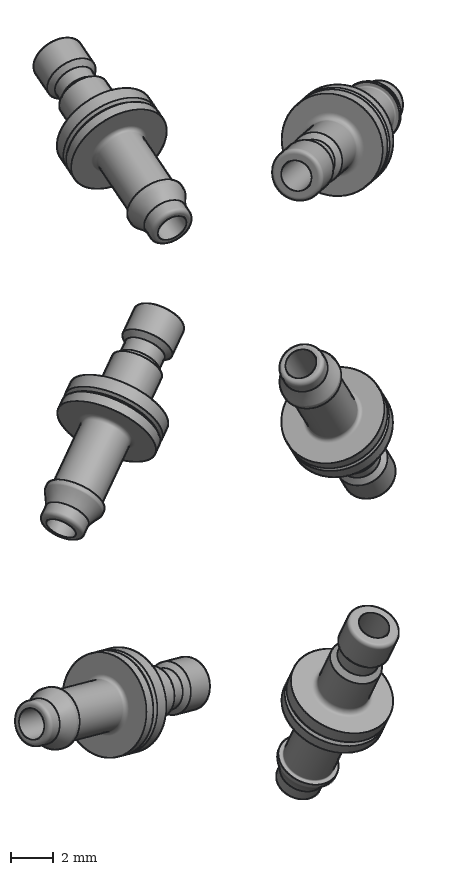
import cadquery as cq
import math

length = 12.0
bore_diameter = 1.5

plug_radius = 2.55 / 2
neck_radius = 2.0 / 2
neck_start = 1.58
neck_end = 2.82
shoulder = plug_radius - neck_radius
end_rounding = 0.2

flange_radius = 5.0 / 2
flange_start = 5.0
flange_width = 1.5
flange_end = flange_start + flange_width
groove_center = 5.83
groove_depth = 0.15
plug_root_fillet = 0.3
hose_root_fillet = 0.2

shank_radius = 2.5 / 2
barb_start = 10.25
barb_radius = 2.95 / 2
barb_root_fillet = 0.07
crest_end = 10.44
crest_rounding = 0.17
ramp_angle = math.radians(26)
tip_start = 11.27
tip_radius = 2.2 / 2
ramp_sag = 0.02

half_turn = ramp_angle / 2
crest_mid = (
    crest_end + crest_rounding * math.sin(half_turn),
    barb_radius - crest_rounding * (1 - math.cos(half_turn)),
)
ramp_start = (
    crest_end + crest_rounding * math.sin(ramp_angle),
    barb_radius - crest_rounding * (1 - math.cos(ramp_angle)),
)
ramp_mid = (
    (ramp_start[0] + tip_start) / 2,
    (ramp_start[1] + tip_radius) / 2 - ramp_sag,
)


def fillet_mid(center_x, center_radius, radius, side_x, side_radius):
    """Middle of a quarter arc on the given side (+1 or -1) of its center."""
    offset = radius * math.sqrt(0.5)
    return (center_x + side_x * offset, center_radius + side_radius * offset)


plug_root_mid = fillet_mid(
    flange_start - plug_root_fillet, plug_radius + plug_root_fillet, plug_root_fillet, 1, -1
)
hose_root_mid = fillet_mid(
    flange_end + hose_root_fillet, shank_radius + hose_root_fillet, hose_root_fillet, -1, -1
)
barb_root_mid = fillet_mid(
    barb_start - barb_root_fillet, shank_radius + barb_root_fillet, barb_root_fillet, 1, -1
)
plug_end_mid = fillet_mid(end_rounding, plug_radius - end_rounding, end_rounding, -1, 1)
tip_end_mid = fillet_mid(length - end_rounding, tip_radius - end_rounding, end_rounding, 1, 1)

section = (
    cq.Workplane("XY")
    .moveTo(0, 0)
    .lineTo(0, plug_radius - end_rounding)
    .threePointArc(plug_end_mid, (end_rounding, plug_radius))
    .lineTo(neck_start, plug_radius)
    .lineTo(neck_start + shoulder, neck_radius)
    .lineTo(neck_end - shoulder, neck_radius)
    .lineTo(neck_end, plug_radius)
    .lineTo(flange_start - plug_root_fillet, plug_radius)
    .threePointArc(plug_root_mid, (flange_start, plug_radius + plug_root_fillet))
    .lineTo(flange_start, flange_radius)
    .lineTo(groove_center - groove_depth, flange_radius)
    .lineTo(groove_center, flange_radius - groove_depth)
    .lineTo(groove_center + groove_depth, flange_radius)
    .lineTo(flange_end, flange_radius)
    .lineTo(flange_end, shank_radius + hose_root_fillet)
    .threePointArc(hose_root_mid, (flange_end + hose_root_fillet, shank_radius))
    .lineTo(barb_start - barb_root_fillet, shank_radius)
    .threePointArc(barb_root_mid, (barb_start, shank_radius + barb_root_fillet))
    .lineTo(barb_start, barb_radius)
    .lineTo(crest_end, barb_radius)
    .threePointArc(crest_mid, ramp_start)
    .threePointArc(ramp_mid, (tip_start, tip_radius))
    .lineTo(length - end_rounding, tip_radius)
    .threePointArc(tip_end_mid, (length, tip_radius - end_rounding))
    .lineTo(length, 0)
    .close()
)

body = section.revolve(360, (0, 0, 0), (1, 0, 0))
bore = cq.Workplane("YZ").circle(bore_diameter / 2).extrude(length)

result = body.cut(bore)